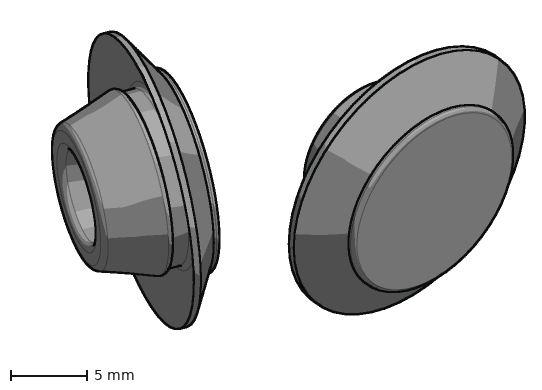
import cadquery as cq


RIM_RADIUS = 10.0
RIM_THICKNESS = 0.5
BACK_RADIUS = 7.0
BACK_Y = 3.0
BACK_LAND = 0.5
BACK_FILLET = 0.3

NECK_RADIUS = 6.0
NECK_ROOT_Y = 1.55
NECK_FILLET = 0.3

HEAD_LENGTH = 4.5
HEAD_BASE_RADIUS = 6.44
HEAD_TIP_RADIUS = 4.94
HEAD_BASE_FILLET = 0.3
HEAD_TIP_FILLET = 0.5

BORE_MOUTH_RADIUS = 3.25
BORE_FLOOR_RADIUS = 2.85
BORE_DEPTH = 4.5
BORE_FILLET = 0.5

EDGE_TOLERANCE = 0.01


def revolve_profile(points):
    """Revolve a closed (radius, y) outline a full turn about the Y axis."""
    return cq.Workplane("XY").polyline(points).close().revolve(360, (0, 0), (0, 1))


def fillet_circle(body, radius, y, fillet):
    """Round the circular edge that has the given radius and lies at height y."""
    corner = cq.selectors.BoxSelector(
        (-radius - EDGE_TOLERANCE, y - EDGE_TOLERANCE, -radius - EDGE_TOLERANCE),
        (radius + EDGE_TOLERANCE, y + EDGE_TOLERANCE, radius + EDGE_TOLERANCE),
        boundingbox=True,
    )
    edges = body.edges(corner).edges(cq.selectors.RadiusNthSelector(-1))
    return edges.fillet(fillet)


def make_body():
    """Flange, neck and head as one solid of revolution with rounded corners."""
    tip_y = -HEAD_LENGTH
    body = revolve_profile([
        (0, tip_y),
        (HEAD_TIP_RADIUS, tip_y),
        (HEAD_BASE_RADIUS, 0),
        (NECK_RADIUS, 0),
        (NECK_RADIUS, NECK_ROOT_Y),
        (RIM_RADIUS, 0),
        (RIM_RADIUS, RIM_THICKNESS),
        (BACK_RADIUS, BACK_Y - BACK_LAND),
        (BACK_RADIUS, BACK_Y),
        (0, BACK_Y),
    ])
    body = fillet_circle(body, HEAD_TIP_RADIUS, tip_y, HEAD_TIP_FILLET)
    body = fillet_circle(body, HEAD_BASE_RADIUS, 0, HEAD_BASE_FILLET)
    body = fillet_circle(body, NECK_RADIUS, NECK_ROOT_Y, NECK_FILLET)
    return fillet_circle(body, BACK_RADIUS, BACK_Y, BACK_FILLET)


def cut_bore(body):
    """Cut the tapered blind bore and round its mouth and floor."""
    mouth_y = -HEAD_LENGTH
    floor_y = mouth_y + BORE_DEPTH
    bore = revolve_profile([
        (0, mouth_y),
        (BORE_MOUTH_RADIUS, mouth_y),
        (BORE_FLOOR_RADIUS, floor_y),
        (0, floor_y),
    ])
    bore = fillet_circle(bore, BORE_FLOOR_RADIUS, floor_y, BORE_FILLET)
    bored = body.cut(bore)
    return fillet_circle(bored, BORE_MOUTH_RADIUS, mouth_y, BORE_FILLET)


result = cut_bore(make_body())